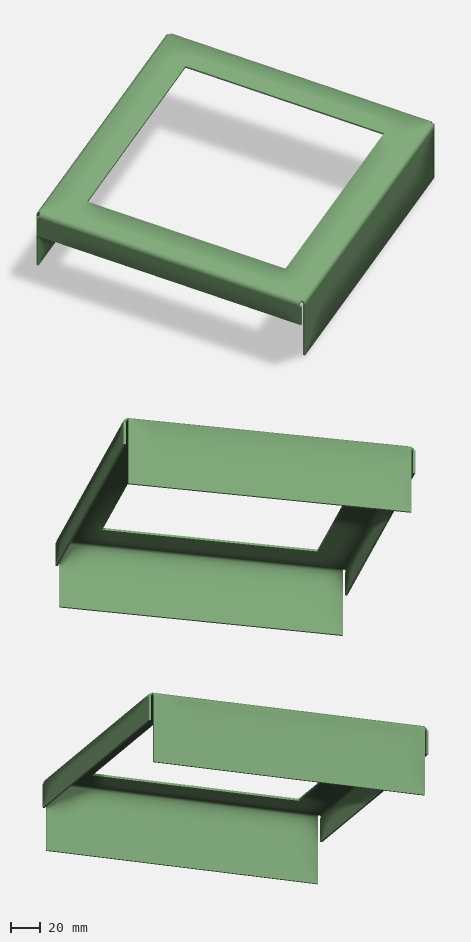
import cadquery as cq

frame_size = 203.0
sheet = 1.5
inner_bend_radius = 1.5
opening = 150.0
side_flange_height = 50.0
end_flange_height = 20.0

outer_bend_radius = inner_bend_radius + sheet
flat_size = frame_size - 2 * outer_bend_radius
end_flange_width = frame_size - 2 * sheet
half_flat = flat_size / 2
half_frame = frame_size / 2


def make_panel():
    """Flat square panel with its top at Z = 0 and a square window."""
    panel = cq.Workplane("XY").rect(flat_size, flat_size).rect(opening, opening)
    return panel.extrude(-sheet)


def make_flange(height, width):
    """Bend and flange hanging down on the +X side.

    The bend is as long as the flat panel; the straight wall below it is `width` long.
    """
    bend = (
        cq.Workplane("XZ")
        .moveTo(half_flat, 0)
        .radiusArc((half_frame, -outer_bend_radius), outer_bend_radius)
        .lineTo(half_frame - sheet, -outer_bend_radius)
        .radiusArc((half_flat, -sheet), -inner_bend_radius)
        .close()
        .extrude(half_flat, both=True)
    )
    wall = cq.Workplane("XY").box(
        sheet, width, height - outer_bend_radius, centered=(False, True, False)
    )
    return bend.union(wall.translate((half_frame - sheet, 0, -height)))


side_flange = make_flange(side_flange_height, flat_size)
end_flange = make_flange(end_flange_height, end_flange_width)

result = make_panel()
for flange, angles in ((side_flange, (0, 180)), (end_flange, (90, 270))):
    for angle in angles:
        result = result.union(flange.rotate((0, 0, 0), (0, 0, 1), angle))